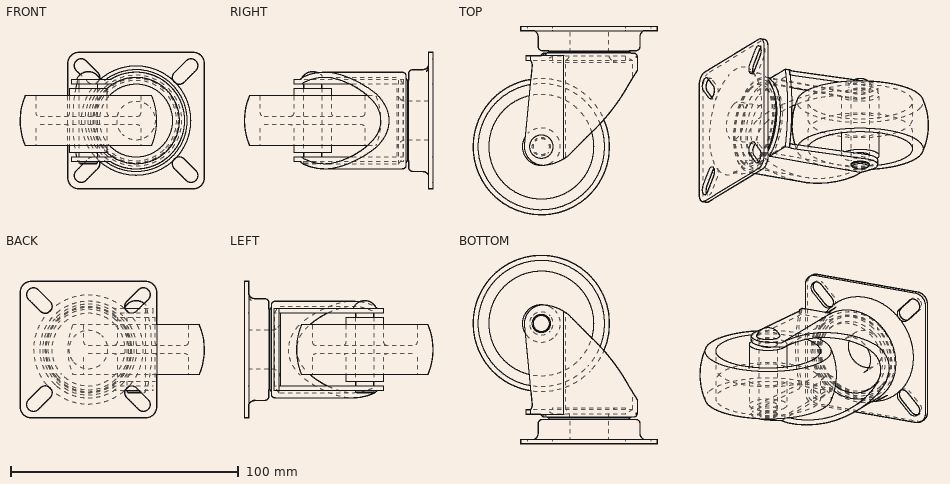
import cadquery as cq
import math


overall_drop = 82.75
wheel_diameter = 59.9
wheel_radius = wheel_diameter / 2
axle_x = -20.9
axle_y = wheel_radius - overall_drop

plate_side = 60.0
plate_thickness = 2.0
plate_corner_radius = 5.0
slot_width = 5.95
slot_offset = 21.5
slot_travel = 7.3

cup_radius = 44.8 / 2
cup_flare_radius = 3.0
cup_flare_drop = 4.6
cup_bottom_drop = 10.75
cup_edge_radius = 1.9

neck_radius = 17.7
neck_base_radius = 18.5
neck_taper_drop = 11.25

fork_top_drop = 11.75
fork_top_radius = 40.0 / 2
fork_radius = 21.3
fork_edge_radius = 2.0
crown_step = fork_radius - fork_top_radius
crown_drop = fork_top_drop + math.sqrt(fork_edge_radius**2 - (fork_edge_radius - crown_step) ** 2)
fork_bore_radius = 38.0 / 2
race_radius = 32.0 / 2
race_drop = 15.8
moat_depth = 2.0
pivot_hole_radius = 17.0 / 2
pivot_hole_rim_radius = 4.0

fork_width = 36.1
leg_thickness = 2.1
fork_gap = fork_width - 2 * leg_thickness
web_top_drop = 12.9
web_thickness = 2.15
web_bottom_drop = web_top_drop + web_thickness
web_corner_x = -25.65
web_middle_x = -27.8

notch_x = -25.0
notch_drop = 17.5
notch_radius = 3.6
leg_tip_x = -19.95
leg_tip_drop = 52.55
leg_tip_radius = 8.4
leg_tip_start_angle = 167
leg_tip_middle_angle = 225
leg_tip_end_angle = 282
heel_middle = (-13.0, -59.2)
heel_end = (-8.9, -56.6)
slope_end = (0, -47.6)
barrel_arc_middle = (9.9, -36.8)
barrel_arc_end = (17.7, -25.0)
barrel_corner_y = -19.3

axle_radius = 8.0 / 2
axle_head_radius = 10.3 / 2
axle_head_height = 3.5
axle_tail_length = 1.0
axle_tail_chamfer = 0.5

tread_width = 22.0
tread_edge_radius = 55.45 / 2
rim_inner_radius = 46.0 / 2
disc_half_thickness = 1.8
hub_radius = 16.55 / 2
hub_length = 28.1
recess_fillet = 1.5


def on_arc(centre, radius, degrees):
    """Point on a circle at the given angle."""
    angle = math.radians(degrees)
    return (centre[0] + radius * math.cos(angle), centre[1] + radius * math.sin(angle))


def below(drop):
    """Workplane parallel to the plate; it extrudes away from the plate."""
    return cq.Workplane("XZ").workplane(offset=drop)


def turned(profile):
    """Solid of revolution of a closed (radius, Y) profile around the swivel axis."""
    return profile.close().revolve(360, (0, 0, 0), (0, 1, 0))


def make_plate():
    plate = below(0).rect(plate_side, plate_side).extrude(plate_thickness)
    plate = plate.edges("|Y").fillet(plate_corner_radius)
    for x_sign in (-1, 1):
        for z_sign in (-1, 1):
            slot = (
                below(0)
                .center(x_sign * slot_offset, z_sign * slot_offset)
                .slot2D(slot_travel + slot_width, slot_width, 45 * x_sign * z_sign)
                .extrude(plate_thickness)
            )
            plate = plate.cut(slot)
    return plate


def make_swivel_head():
    """Cup, neck and rounded crown of the fork, turned as one piece."""
    flare_rise = cup_flare_drop - plate_thickness
    flare_spread = cup_flare_radius - math.sqrt(cup_flare_radius**2 - flare_rise**2)
    profile = (
        cq.Workplane("XY")
        .moveTo(0, -plate_thickness)
        .lineTo(cup_radius + flare_spread, -plate_thickness)
        .radiusArc((cup_radius, -cup_flare_drop), -cup_flare_radius)
        .lineTo(cup_radius, cup_edge_radius - cup_bottom_drop)
        .radiusArc((cup_radius - cup_edge_radius, -cup_bottom_drop), cup_edge_radius)
        .lineTo(neck_radius, -cup_bottom_drop)
        .lineTo(neck_radius, -neck_taper_drop)
        .lineTo(neck_base_radius, -fork_top_drop)
        .lineTo(fork_top_radius, -fork_top_drop)
        .radiusArc((fork_radius, -crown_drop), fork_edge_radius)
        .lineTo(race_radius, -crown_drop)
        .lineTo(race_radius, -race_drop)
        .lineTo(0, -race_drop)
    )
    return turned(profile)


def make_fork_bore():
    """Barrel bore with a conical moat around the boss, and a pivot hole that has a rounded rim."""
    profile = (
        cq.Workplane("XY")
        .moveTo(0, -plate_thickness)
        .lineTo(pivot_hole_radius, -plate_thickness)
        .lineTo(pivot_hole_radius, pivot_hole_rim_radius - race_drop)
        .radiusArc((pivot_hole_radius + pivot_hole_rim_radius, -race_drop), -pivot_hole_rim_radius)
        .lineTo(race_radius, -race_drop)
        .lineTo(race_radius, moat_depth - web_bottom_drop)
        .lineTo(fork_bore_radius, -web_bottom_drop)
        .lineTo(fork_bore_radius, -overall_drop)
        .lineTo(0, -overall_drop)
    )
    return turned(profile)


def make_fork_side_outline():
    """Side silhouette of legs and barrel, as a block across the fork width."""
    tip = (leg_tip_x, -leg_tip_drop)
    tip_start = on_arc(tip, leg_tip_radius, leg_tip_start_angle)
    tip_middle = on_arc(tip, leg_tip_radius, leg_tip_middle_angle)
    tip_end = on_arc(tip, leg_tip_radius, leg_tip_end_angle)
    return (
        cq.Workplane("XY")
        .moveTo(web_corner_x, -web_top_drop)
        .lineTo(web_corner_x, -web_bottom_drop)
        .radiusArc((notch_x, -notch_drop), notch_radius)
        .lineTo(*tip_start)
        .threePointArc(tip_middle, tip_end)
        .threePointArc(heel_middle, heel_end)
        .lineTo(*slope_end)
        .threePointArc(barrel_arc_middle, barrel_arc_end)
        .lineTo(fork_radius, barrel_corner_y)
        .lineTo(fork_radius, -web_top_drop)
        .close()
        .extrude(fork_radius, both=True)
    )


def make_fork_walls():
    """Half-open barrel running into two flat legs."""
    leg_length = overall_drop - web_top_drop
    leg_plane = below(web_top_drop).center(-fork_radius, 0)
    barrel = below(crown_drop).circle(fork_radius).extrude(overall_drop - crown_drop)
    legs = leg_plane.rect(2 * fork_radius, fork_width).extrude(leg_length)
    gap = leg_plane.rect(2 * fork_radius, fork_gap).extrude(leg_length)
    return barrel.union(legs).cut(gap).intersect(make_fork_side_outline())


def make_fork_web():
    """Flat web with a bowed back edge that joins the legs under the crown."""
    half_width = fork_width / 2
    return (
        below(web_top_drop)
        .moveTo(0, -half_width)
        .lineTo(web_corner_x, -half_width)
        .threePointArc((web_middle_x, 0), (web_corner_x, half_width))
        .lineTo(0, half_width)
        .close()
        .extrude(web_thickness)
    )


def make_axle():
    """Riveted axle: domed head on the +Z leg, chamfered tail past the -Z leg."""
    half_width = fork_width / 2
    pin = (
        cq.Workplane("XY", origin=(axle_x, axle_y, -half_width - axle_tail_length))
        .circle(axle_radius)
        .extrude(fork_width + axle_tail_length)
        .faces("<Z")
        .chamfer(axle_tail_chamfer)
    )
    dome_radius = (axle_head_radius**2 + axle_head_height**2) / (2 * axle_head_height)
    head = (
        cq.Workplane("XZ", origin=(axle_x, axle_y, half_width))
        .lineTo(axle_head_radius, 0)
        .radiusArc((0, axle_head_height), -dome_radius)
        .close()
        .revolve(360, (0, 0, 0), (0, 1, 0))
    )
    return pin.union(head)


def make_frame():
    fork = make_fork_walls().union(make_fork_web())
    frame = make_plate().union(make_swivel_head()).union(fork)
    return frame.cut(make_fork_bore()).union(make_axle())


def make_wheel():
    """Crowned wheel with a recess on each side and a bored hub."""
    half_tread = tread_width / 2
    half_hub = hub_length / 2
    section = (
        cq.Workplane("XZ", origin=(axle_x, axle_y, 0))
        .moveTo(axle_radius, -half_hub)
        .lineTo(hub_radius, -half_hub)
        .lineTo(hub_radius, -disc_half_thickness - recess_fillet)
        .radiusArc((hub_radius + recess_fillet, -disc_half_thickness), recess_fillet)
        .lineTo(rim_inner_radius - recess_fillet, -disc_half_thickness)
        .radiusArc((rim_inner_radius, -disc_half_thickness - recess_fillet), recess_fillet)
        .lineTo(rim_inner_radius, -half_tread)
        .lineTo(tread_edge_radius, -half_tread)
        .threePointArc((wheel_radius, 0), (tread_edge_radius, half_tread))
        .lineTo(rim_inner_radius, half_tread)
        .lineTo(rim_inner_radius, disc_half_thickness + recess_fillet)
        .radiusArc((rim_inner_radius - recess_fillet, disc_half_thickness), recess_fillet)
        .lineTo(hub_radius + recess_fillet, disc_half_thickness)
        .radiusArc((hub_radius, disc_half_thickness + recess_fillet), recess_fillet)
        .lineTo(hub_radius, half_hub)
        .lineTo(axle_radius, half_hub)
        .close()
    )
    return section.revolve(360, (0, 0, 0), (0, 1, 0))


frame = make_frame()
wheel = make_wheel()

result = cq.Compound.makeCompound([frame.val(), wheel.val()])